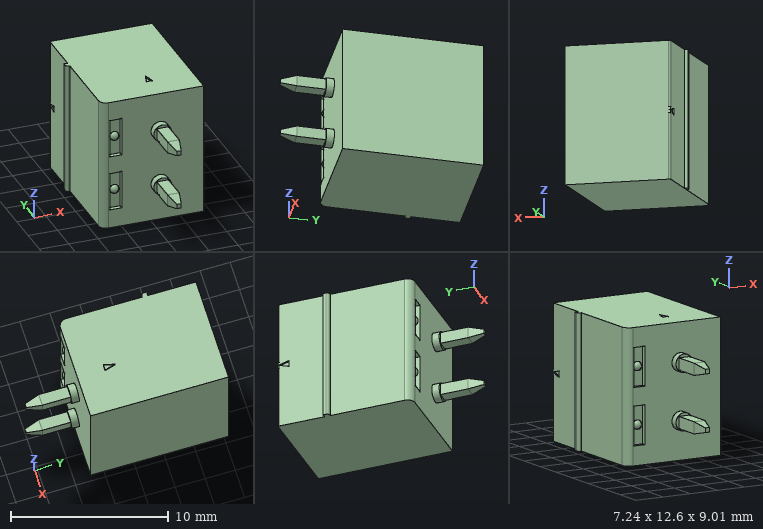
import cadquery as cq

body_width = 6.99
body_depth = 9.2
body_height = 9.01
front_corner_radius = 0.5
back_corner_radius = 0.13

rib_projection = 0.25
rib_width = 0.4
rib_front_radius = 0.2
rib_to_back = 3.2

contact_pitch = 3.8
contact_x = 4.0
collar_diameter = 1.21
collar_length = 0.5
pin_side = 0.8
pin_tip_side = 0.3
pin_taper_length = 1.0
pin_reach = 3.4
shank_length = pin_reach - collar_length - pin_taper_length

window_x = 1.0
window_width = 0.81
window_height = 2.6
window_depth = 0.3
bead_radius = 0.3

mark_width = 0.4
mark_length = 0.73
mark_depth = 0.1
top_mark_base_y = 1.84
side_mark_tip_gap = 0.04

middle_z = body_height / 2
contact_levels = [middle_z - contact_pitch / 2, middle_z + contact_pitch / 2]


def make_housing():
    block = cq.Workplane("XY").box(body_width, body_depth, body_height, centered=False)
    block = block.edges("|Z and <X and <Y").fillet(front_corner_radius)
    return block.edges("|Z and <X and >Y").fillet(back_corner_radius)


def make_rib():
    rib = (
        cq.Workplane("XY")
        .box(2 * rib_projection, rib_width, body_height, centered=False)
        .edges("|Z and <X and <Y")
        .fillet(rib_front_radius)
    )
    return rib.translate((-rib_projection, body_depth - rib_to_back - rib_width, 0))


def make_mark_land():
    land = cq.Workplane("XY").box(
        back_corner_radius, back_corner_radius, mark_width, centered=(False, False, True)
    )
    return land.translate((0, body_depth - back_corner_radius, middle_z))


def make_contact(level):
    collar = (
        cq.Workplane("XZ", origin=(contact_x, 0, level))
        .circle(collar_diameter / 2)
        .extrude(collar_length)
    )
    shank = (
        cq.Workplane("XZ", origin=(contact_x, -collar_length, level))
        .rect(pin_side, pin_side)
        .extrude(shank_length)
    )
    tip = (
        cq.Workplane("XZ", origin=(contact_x, -collar_length - shank_length, level))
        .rect(pin_side, pin_side)
        .workplane(offset=pin_taper_length)
        .rect(pin_tip_side, pin_tip_side)
        .loft(ruled=True)
    )
    return collar.union(shank).union(tip)


def make_window(level):
    return (
        cq.Workplane("XZ", origin=(window_x, 0, level))
        .rect(window_width, window_height)
        .extrude(-window_depth)
    )


def make_bead(level):
    return cq.Workplane("XY").sphere(bead_radius).translate((window_x, window_depth, level))


def make_top_mark():
    return (
        cq.Workplane("XY", origin=(contact_x, top_mark_base_y, body_height))
        .polyline([(-mark_width / 2, 0), (mark_width / 2, 0), (0, mark_length)])
        .close()
        .extrude(-mark_depth)
    )


def make_side_mark():
    tip_y = body_depth - side_mark_tip_gap
    base_y = tip_y - mark_length
    return (
        cq.Workplane("YZ", origin=(0, 0, middle_z))
        .polyline([(base_y, -mark_width / 2), (base_y, mark_width / 2), (tip_y, 0)])
        .close()
        .extrude(mark_depth)
    )


result = make_housing().union(make_rib()).union(make_mark_land())
for contact_level in contact_levels:
    result = result.union(make_contact(contact_level))
    result = result.cut(make_window(contact_level))
    result = result.union(make_bead(contact_level))
result = result.cut(make_top_mark()).cut(make_side_mark())